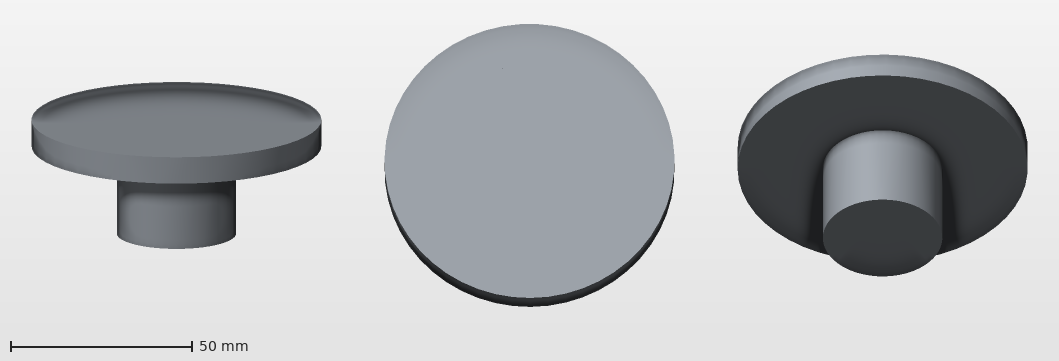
import cadquery as cq
import math

disc_diameter = 80.0
stem_diameter = 33.0
total_height = 32.5
disc_thickness = 7.5
stem_height = total_height - disc_thickness

arrow_count = 3
arrow_spacing = 360.0 / arrow_count
arrow_radius = 30.0
band_width = 5.0
head_width = 10.1
head_length = 4.0
barb_length = 1.0
arrow_sweep = 60.0
head_angle = 3.2
arrow_depth = 1.0


def polar_point(radius, angle):
    radians = math.radians(angle)
    return (radius * math.cos(radians), radius * math.sin(radians))


def make_knob_blank():
    stem = cq.Workplane("XY").circle(stem_diameter / 2).extrude(stem_height)
    disc = (
        cq.Workplane("XY")
        .workplane(offset=stem_height)
        .circle(disc_diameter / 2)
        .extrude(disc_thickness)
    )
    return stem.union(disc)


def make_arrow(angle):
    """Clockwise arrow whose head has its back edge on the ray at the given angle."""
    inner_radius = arrow_radius - band_width / 2
    outer_radius = arrow_radius + band_width / 2
    head_inner = arrow_radius - head_width / 2
    head_outer = arrow_radius + head_width / 2

    arrow = (
        cq.Workplane("XY")
        .workplane(offset=total_height - arrow_depth)
        .moveTo(inner_radius, 0)
        .lineTo(head_inner, 0)
        .lineTo(head_inner, -barb_length)
        .lineTo(arrow_radius, -head_length)
        .lineTo(head_outer, -barb_length)
        .lineTo(head_outer, 0)
        .lineTo(outer_radius, 0)
        .threePointArc(
            polar_point(outer_radius, arrow_sweep / 2),
            polar_point(outer_radius, arrow_sweep),
        )
        .lineTo(*polar_point(inner_radius, arrow_sweep))
        .threePointArc(
            polar_point(inner_radius, arrow_sweep / 2),
            (inner_radius, 0),
        )
        .close()
        .extrude(arrow_depth)
    )
    return arrow.rotate((0, 0, 0), (0, 0, 1), angle)


arrows = [make_arrow(head_angle + i * arrow_spacing) for i in range(arrow_count)]

knob = make_knob_blank()
for arrow in arrows:
    knob = knob.cut(arrow)

result = cq.Compound.makeCompound([knob.solids().val(), *[arrow.val() for arrow in arrows]])